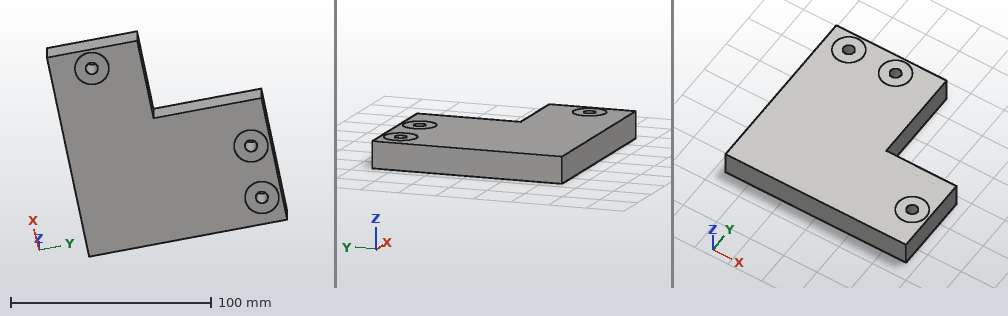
import cadquery as cq

length_x = 108.0
length_y = 101.0
thickness = 14.0
rear_leg_width = 66.0
side_leg_width = 46.0

bushing_diameter = 17.0
bore_diameter = 6.0
end_inset = 10.0
rear_row_y = length_y - end_inset
bushing_centers = [
    (14.0, rear_row_y),
    (42.0, rear_row_y),
    (length_x - end_inset, 21.0),
]


def make_plate():
    """L-shaped plate with a through hole for each bushing."""
    outline = [
        (0, 0),
        (length_x, 0),
        (length_x, side_leg_width),
        (rear_leg_width, side_leg_width),
        (rear_leg_width, length_y),
        (0, length_y),
    ]
    blank = cq.Workplane("XY").polyline(outline).close().extrude(thickness)
    seats = (
        cq.Workplane("XY")
        .pushPoints(bushing_centers)
        .circle(bushing_diameter / 2)
        .extrude(thickness)
    )
    return blank.cut(seats)


def make_bushing(center):
    """Plain bushing with a through bore, standing at the given XY center."""
    return (
        cq.Workplane("XY")
        .center(*center)
        .circle(bushing_diameter / 2)
        .circle(bore_diameter / 2)
        .extrude(thickness)
    )


plate = make_plate()
bushings = [make_bushing(center) for center in bushing_centers]

result = cq.Compound.makeCompound([plate.val(), *[bushing.val() for bushing in bushings]])